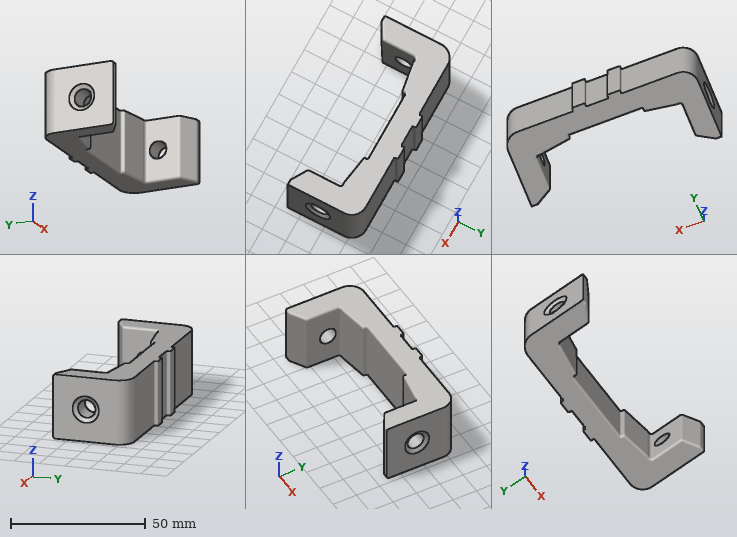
import cadquery as cq

length = 76.0
height = 25.0
depth = 31.5
pad_height = 1.45
back_y = depth - pad_height
half_length = length / 2
corner_radius = 6.0

tip_width = 2.35
leg_width = 9.0
lead_in_depth = 3.95
recess_half_width = 14.8
recess_y = 21.5
slope_inner_y = 20.0
ledge_y = 18.1
ledge_end_x = 27.0
leg_root_radius = 1.0
step_radius = 0.5
edge_round = 1.0

pad_width = 5.2
pad_spacing = 14.05
pad_corner_radius = 0.4
pad_overlap = 0.75

hole_y = 12.9
hole_diameter = 6.85
sink_diameter = 10.3
sink_angle = 120.0
hole_overrun = 0.75

leg_inner_x = half_length - leg_width
tip_inner_x = half_length - tip_width


def vertical_edges_at(body, x, y):
    """Select the upright edges at the given point and its mirror image across X = 0."""
    reach = 0.1
    selector = None
    for side in (-1, 1):
        box = cq.selectors.BoxSelector(
            (side * x - reach, y - reach, -height),
            (side * x + reach, y + reach, height),
        )
        selector = box if selector is None else selector + box
    return body.edges("|Z").edges(selector)


def make_outer_block():
    block = cq.Workplane("XY").box(length, back_y, height, centered=(True, False, True))
    return block.edges("|Z and >Y").fillet(corner_radius)


def make_opening():
    """Stepped opening between the legs, flared at its mouth."""
    right_side = [
        (tip_inner_x, 0),
        (leg_inner_x, lead_in_depth),
        (leg_inner_x, ledge_y),
        (ledge_end_x, ledge_y),
        (recess_half_width, slope_inner_y),
        (recess_half_width, recess_y),
    ]
    left_side = [(-x, y) for x, y in reversed(right_side)]
    opening = cq.Workplane("XY").polyline(right_side + left_side).close().extrude(height / 2, both=True)
    opening = vertical_edges_at(opening, leg_inner_x, ledge_y).fillet(leg_root_radius)
    opening = vertical_edges_at(opening, recess_half_width, slope_inner_y).fillet(step_radius)
    return vertical_edges_at(opening, recess_half_width, recess_y).fillet(step_radius)


def round_inner_rims(body):
    """Round the inner rims at the top and bottom together with the upright corners of the leg tips."""
    rim_margin = 0.75
    rim_limit_x = half_length - tip_width / 4
    rim_zone = cq.selectors.BoxSelector(
        (-rim_limit_x, -rim_margin, -height),
        (rim_limit_x, recess_y + rim_margin, height),
    )
    edges = body.faces("<Z or >Z").edges(rim_zone)
    edges = edges.add(vertical_edges_at(body, tip_inner_x, 0))
    edges = edges.add(vertical_edges_at(body, leg_inner_x, lead_in_depth))
    return edges.fillet(edge_round)


def make_pads():
    pads = (
        cq.Workplane("XY")
        .pushPoints([(-pad_spacing / 2, 0), (pad_spacing / 2, 0)])
        .box(pad_width, pad_height + pad_overlap, height, centered=(True, False, True))
        .translate((0, back_y - pad_overlap, 0))
    )
    return pads.edges("|Z and >Y").fillet(pad_corner_radius)


def blend_pad_roots(body):
    for pad_x in (pad_spacing / 2 - pad_width / 2, pad_spacing / 2 + pad_width / 2):
        body = vertical_edges_at(body, pad_x, back_y).fillet(pad_corner_radius)
    return body


def drill_leg(body, face):
    return (
        body.faces(face)
        .workplane(origin=(0, hole_y, 0))
        .cskHole(hole_diameter, sink_diameter, sink_angle, depth=leg_width + hole_overrun)
    )


result = make_outer_block().cut(make_opening())
result = round_inner_rims(result)
result = blend_pad_roots(result.union(make_pads()))
for leg_face in ("<X", ">X"):
    result = drill_leg(result, leg_face)